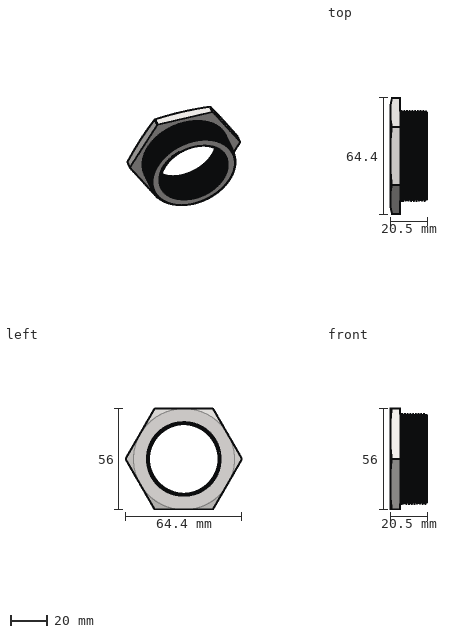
import cadquery as cq
import math

ACROSS_FLATS = 56.0
ACROSS_CORNERS = 64.4
FLANGE_THICKNESS = 5.5
FACE_BEVEL_ANGLE = 12.5
HEXAGON_SIDES = 6

TOTAL_LENGTH = 20.5
PITCH = 1.5
HALF_FLANK_ANGLE = 30.0
CREST_WIDTH = 0.06
ROOT_OVERLAP = 0.1
THREAD_OVERRUN = PITCH

COLLAR_DIAMETER = 50.0
COLLAR_LENGTH = 1.0
OUTER_CREST_DIAMETER = COLLAR_DIAMETER - 0.04
OUTER_ROOT_DIAMETER = 48.4
END_CHAMFER = 1.0
OUTER_THREAD_START = FLANGE_THICKNESS + 0.4

INNER_ROOT_DIAMETER = 40.0
INNER_CREST_DIAMETER = 38.4
COUNTERSINK_DIAMETER = 41.0
PHASE_TURNS = 5
INNER_THREAD_START = OUTER_THREAD_START - PHASE_TURNS * PITCH


def cylinder(diameter, start, end):
    return cq.Workplane("YZ", origin=(start, 0, 0)).circle(diameter / 2).extrude(end - start)


def cone(start_diameter, end_diameter, start, end):
    return (
        cq.Workplane("YZ", origin=(start, 0, 0))
        .circle(start_diameter / 2)
        .workplane(offset=end - start)
        .circle(end_diameter / 2)
        .loft()
    )


def helical_ridge(root_diameter, crest_diameter, start, end):
    """Ridge about X whose profile is centred on x = start at the -Z side; it points in or out."""
    root_radius = root_diameter / 2
    crest_radius = crest_diameter / 2
    toward_crest = math.copysign(1, crest_radius - root_radius)
    foot_radius = root_radius - toward_crest * ROOT_OVERLAP
    half_crest = CREST_WIDTH / 2
    half_foot = half_crest + abs(crest_radius - foot_radius) * math.tan(math.radians(HALF_FLANK_ANGLE))
    profile = [
        (foot_radius, -half_foot),
        (crest_radius, -half_crest),
        (crest_radius, half_crest),
        (foot_radius, half_foot),
    ]
    path = cq.Workplane(cq.Wire.makeHelix(PITCH, end - start, root_radius))
    ridge_about_z = cq.Workplane("XZ").polyline(profile).close().sweep(path, isFrenet=True)
    return ridge_about_z.rotate((0, 0, 0), (0, 1, 0), 90).translate((start, 0, 0))


def hex_flange():
    sharp_diameter = ACROSS_FLATS / math.cos(math.pi / HEXAGON_SIDES)
    hexagon = cq.Workplane("YZ").polygon(HEXAGON_SIDES, sharp_diameter).extrude(FLANGE_THICKNESS)
    bevel_growth = FLANGE_THICKNESS / math.tan(math.radians(FACE_BEVEL_ANGLE))
    bevel = cone(ACROSS_FLATS, ACROSS_FLATS + 2 * bevel_growth, 0, FLANGE_THICKNESS)
    turned_corners = cylinder(ACROSS_CORNERS, 0, FLANGE_THICKNESS)
    return hexagon.intersect(turned_corners).intersect(bevel)


def collar():
    return cylinder(COLLAR_DIAMETER, FLANGE_THICKNESS / 2, FLANGE_THICKNESS + COLLAR_LENGTH)


def end_envelope():
    """Clears the outer thread everywhere except at the +X end, where it is the 45 degree chamfer."""
    end_radius = COLLAR_DIAMETER / 2 - END_CHAMFER
    clear_radius = COLLAR_DIAMETER / 2 + END_CHAMFER
    cone_start = TOTAL_LENGTH - (clear_radius - end_radius)
    outline = [
        (0, 0),
        (0, clear_radius),
        (cone_start, clear_radius),
        (TOTAL_LENGTH, end_radius),
        (TOTAL_LENGTH, 0),
    ]
    return cq.Workplane("XY").polyline(outline).close().revolve(360, (0, 0, 0), (1, 0, 0))


def threaded_shank():
    ridge_end = TOTAL_LENGTH + THREAD_OVERRUN
    ridge = helical_ridge(OUTER_ROOT_DIAMETER, OUTER_CREST_DIAMETER, OUTER_THREAD_START, ridge_end)
    core = cylinder(OUTER_ROOT_DIAMETER, FLANGE_THICKNESS / 2, ridge_end + THREAD_OVERRUN)
    return core.union(ridge).intersect(end_envelope())


def threaded_bore():
    """The space inside the bore: a cylinder with the helical ridge taken out of it."""
    ridge_end = TOTAL_LENGTH + THREAD_OVERRUN
    ridge = helical_ridge(INNER_ROOT_DIAMETER, INNER_CREST_DIAMETER, INNER_THREAD_START, ridge_end)
    core = cylinder(INNER_ROOT_DIAMETER, INNER_THREAD_START - THREAD_OVERRUN, ridge_end + THREAD_OVERRUN)
    return core.cut(ridge)


def countersink():
    depth = (COUNTERSINK_DIAMETER - INNER_CREST_DIAMETER) / 2
    return cone(COUNTERSINK_DIAMETER, INNER_CREST_DIAMETER, 0, depth)


blank = threaded_shank().union(hex_flange().union(collar()))
result = blank.cut(threaded_bore()).cut(countersink()).solids()